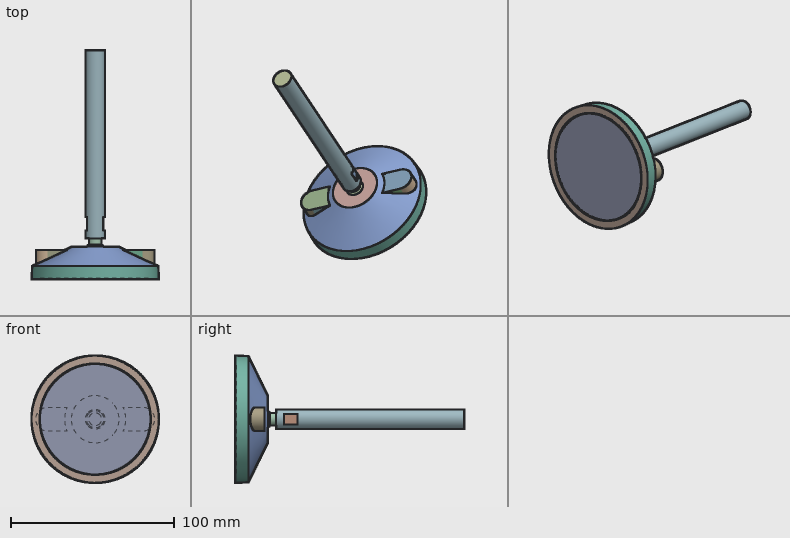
import cadquery as cq
import math

total_length = 140.0

sole_diameter = 78.0
rim_height = 8.2
rim_draft = 3.0
rim_top_diameter = sole_diameter - 2 * rim_height * math.tan(math.radians(rim_draft))
plate_height = 20.0
plate_top_diameter = 29.0

pad_diameter = 67.5
pad_recess_diameter = 68.0
groove_depth = 1.0

lug_width = 14.5
lug_reach = 36.25
lug_top = 18.0

flare_diameter = 10.5
neck_diameter = 7.8
flare_height = (flare_diameter - neck_diameter) / 2
shaft_diameter = 12.0
shaft_start = 25.0

flat_start = 30.0
flat_length = 8.0
across_flats = 10.0


def along_y(start):
    """Workplane at Y = start whose normal points along +Y."""
    return cq.Workplane("XZ", origin=(0, start, 0)).transformed(rotate=(0, 180, 0))


def make_foot_and_spindle():
    """Revolve the half profile of the plate, flare, neck and shaft about Y."""
    profile = [
        (0, 0),
        (sole_diameter / 2, 0),
        (rim_top_diameter / 2, rim_height),
        (plate_top_diameter / 2, plate_height),
        (flare_diameter / 2, plate_height),
        (neck_diameter / 2, plate_height + flare_height),
        (neck_diameter / 2, shaft_start),
        (shaft_diameter / 2, shaft_start),
        (shaft_diameter / 2, total_length),
        (0, total_length),
    ]
    return cq.Workplane("XY").polyline(profile).close().revolve(360, (0, 0, 0), (0, 1, 0))


def make_lugs():
    """One long round-ended bar through the plate leaves a lug on each side."""
    return along_y(rim_height).slot2D(2 * lug_reach, lug_width).extrude(lug_top - rim_height)


def make_pad_groove():
    """Ring between the pad and the recess that holds it."""
    ring = along_y(0).circle(pad_recess_diameter / 2).circle(pad_diameter / 2)
    return ring.extrude(groove_depth)


def make_flat_cutter(side):
    """Block that cuts one wrench flat; side is +1 for +X, -1 for -X."""
    center_x = side * (across_flats + shaft_diameter) / 2
    center_y = flat_start + flat_length / 2
    block = cq.Workplane("XY").box(shaft_diameter, flat_length, shaft_diameter)
    return block.translate((center_x, center_y, 0))


result = make_foot_and_spindle().union(make_lugs()).cut(make_pad_groove())
for side in (1, -1):
    result = result.cut(make_flat_cutter(side))